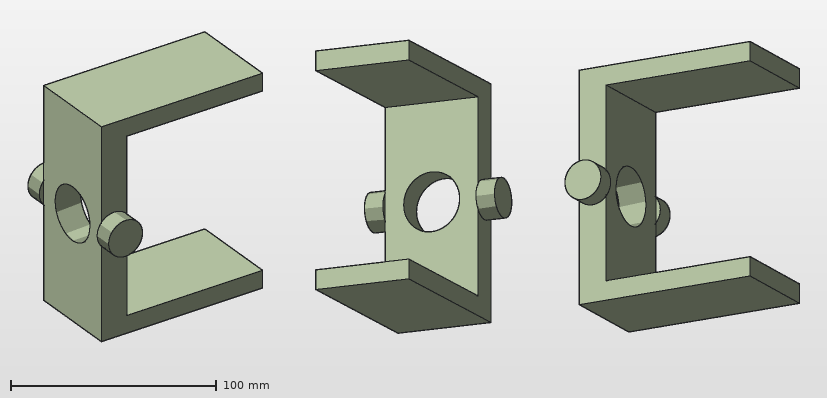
import cadquery as cq

height = 120.0
width = 50.0
plate_thickness = 15.0
arm_length = 80.0
arm_thickness = 10.0
hole_diameter = 30.0
pin_diameter = 20.0
pin_length = 10.0

depth = plate_thickness + arm_length
pin_y = plate_thickness / 2
gap_height = height - 2 * arm_thickness


def make_bracket():
    """C-shaped bracket: a front plate with an arm at the top and bottom."""
    block = cq.Workplane("XY").box(width, depth, height, centered=(True, False, True))
    gap = (
        cq.Workplane("XY")
        .box(width, arm_length, gap_height, centered=(True, False, True))
        .translate((0, plate_thickness, 0))
    )
    return block.cut(gap)


def make_hole():
    """Round hole through the middle of the front plate."""
    return cq.Workplane("XZ").circle(hole_diameter / 2).extrude(-plate_thickness)


def make_pin(start_x):
    """Pivot pin running along +X from start_x, centred on the plate thickness."""
    return (
        cq.Workplane("YZ", origin=(start_x, pin_y, 0))
        .circle(pin_diameter / 2)
        .extrude(pin_length)
    )


result = make_bracket().cut(make_hole())
for pin_start in (-width / 2 - pin_length, width / 2):
    result = result.union(make_pin(pin_start))